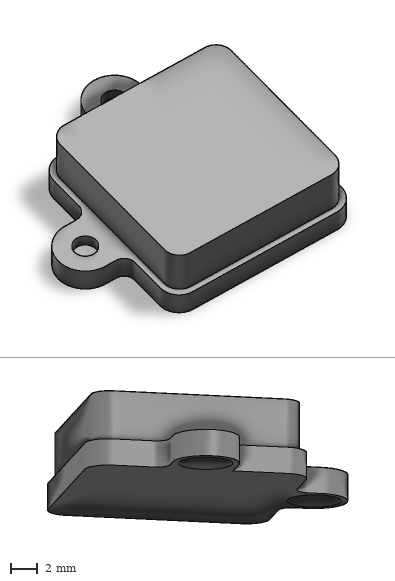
import cadquery as cq

base_side = 16.8
base_thickness = 2.0
base_corner_radius = 1.75

block_margin = 0.5
block_side = base_side - 2 * block_margin
block_height = 3.8
block_corner_radius = 1.4

ear_radius = 2.5
ear_hole_diameter = 2.0
countersink_diameter = 4.0
countersink_depth = 1.0
ear_hole_offset = 2.0
ear_fillet_radius = 1.0

plate_edge = base_side / 2
hole_distance = plate_edge + ear_hole_offset
hole_centres = [(-hole_distance, 0), (0, -hole_distance)]


def rounded_square(side, height, corner_radius):
    """Square slab standing on Z = 0 with rounded vertical edges."""
    slab = cq.Workplane("XY").box(side, side, height, centered=(True, True, False))
    return slab.edges("|Z").fillet(corner_radius)


def ear(hole_centre):
    """Round-ended lug reaching from the plate centre to the hole centre."""
    x, y = hole_centre
    width = 2 * ear_radius
    arm = (
        cq.Workplane("XY")
        .center(x / 2, y / 2)
        .rect(abs(x) or width, abs(y) or width)
        .extrude(base_thickness)
    )
    tip = cq.Workplane("XY").center(x, y).circle(ear_radius).extrude(base_thickness)
    return arm.union(tip)


def countersunk_hole(hole_centre):
    """Through hole with a conical countersink opening on the underside."""
    x, y = hole_centre
    hole_radius = ear_hole_diameter / 2
    countersink_radius = countersink_diameter / 2
    bore = cq.Workplane("XY").center(x, y).circle(hole_radius).extrude(base_thickness)
    cone = cq.Solid.makeCone(countersink_radius, hole_radius, countersink_depth, cq.Vector(x, y, 0))
    return bore.union(cone)


def root_edge(x, y):
    """Selector for the vertical inside edge where an ear meets the plate."""
    return cq.selectors.NearestToPointSelector((x, y, base_thickness / 2))


def make_base():
    base = rounded_square(base_side, base_thickness, base_corner_radius)
    for centre in hole_centres:
        base = base.union(ear(centre))

    blended_roots = [
        (-plate_edge, ear_radius),
        (-ear_radius, -plate_edge),
        (ear_radius, -plate_edge),
    ]
    for x, y in blended_roots:
        base = base.edges("|Z").edges(root_edge(x, y)).fillet(ear_fillet_radius)

    for centre in hole_centres:
        base = base.cut(countersunk_hole(centre))
    return base


block = rounded_square(block_side, block_height, block_corner_radius)
block = block.translate((0, 0, base_thickness))

result = make_base().union(block)